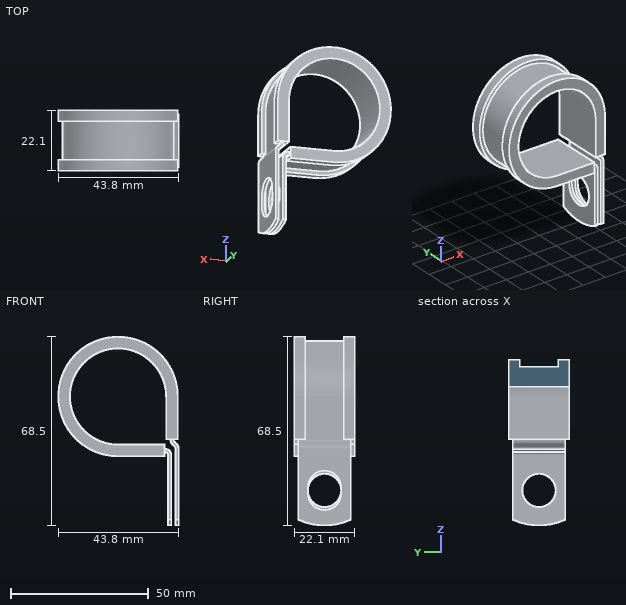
import cadquery as cq
import math

cushion_outer_radius = 21.7
cushion_inner_radius = 17.4
cushion_width = 22.1
groove_width = 13.85
upright_end_z = -15.55
flat_end_x = 16.85

strap_outer_radius = 20.2
strap_thickness = 1.2
strap_width = 19.2
strap_mid_radius = strap_outer_radius - strap_thickness / 2

tab_bottom_z = cushion_outer_radius - 68.55
outer_tab_face_x = 22.1
inner_tab_face_x = 19.3
outer_tab_mid_x = outer_tab_face_x - strap_thickness / 2
inner_tab_mid_x = inner_tab_face_x - strap_thickness / 2
tab_end_radius = 22.75
hole_diameter = 12.0
outer_slot_length = 14.25
hole_z = tab_bottom_z + 12.75

bend_radius = 0.95 + strap_thickness / 2
jog_start_z = -16.4
jog_angle = math.radians(45)


def loop_band(inner_radius, outer_radius, width):
    """Three-quarter ring with one upright and one flat straight end, centred on Y = 0."""
    arc_cos = math.cos(math.radians(45))
    return (
        cq.Workplane("XZ")
        .moveTo(outer_radius, upright_end_z)
        .lineTo(outer_radius, 0)
        .threePointArc((-outer_radius * arc_cos, outer_radius * arc_cos), (0, -outer_radius))
        .lineTo(flat_end_x, -outer_radius)
        .lineTo(flat_end_x, -inner_radius)
        .lineTo(0, -inner_radius)
        .threePointArc((-inner_radius * arc_cos, inner_radius * arc_cos), (inner_radius, 0))
        .lineTo(inner_radius, upright_end_z)
        .close()
        .extrude(width / 2, both=True)
    )


def make_cushion():
    cushion = loop_band(cushion_inner_radius, cushion_outer_radius, cushion_width)
    groove = loop_band(strap_outer_radius, cushion_outer_radius, groove_width)
    return cushion.cut(groove)


def strap_section(x):
    return cq.Workplane("XY", origin=(x, 0, tab_bottom_z)).rect(strap_thickness, strap_width)


def make_inner_tab():
    """Tab that bends square into the flat end of the loop."""
    path = (
        cq.Workplane("XZ")
        .moveTo(inner_tab_mid_x, tab_bottom_z)
        .lineTo(inner_tab_mid_x, -strap_mid_radius - bend_radius)
        .tangentArcPoint((inner_tab_mid_x - bend_radius, -strap_mid_radius), relative=False)
        .lineTo(0, -strap_mid_radius)
    )
    return strap_section(inner_tab_mid_x).sweep(path)


def make_outer_tab():
    """Tab that jogs sideways into the upright end of the loop."""
    offset = outer_tab_mid_x - strap_mid_radius
    jog_end_z = jog_start_z - offset / math.tan(jog_angle)
    setback = bend_radius * math.tan(jog_angle / 2)
    setback_x = setback * math.sin(jog_angle)
    setback_z = setback * math.cos(jog_angle)
    path = (
        cq.Workplane("XZ")
        .moveTo(outer_tab_mid_x, tab_bottom_z)
        .lineTo(outer_tab_mid_x, jog_end_z - setback)
        .tangentArcPoint((outer_tab_mid_x - setback_x, jog_end_z + setback_z), relative=False)
        .lineTo(strap_mid_radius + setback_x, jog_start_z - setback_z)
        .tangentArcPoint((strap_mid_radius, jog_start_z + setback), relative=False)
        .lineTo(strap_mid_radius, 0)
    )
    return strap_section(outer_tab_mid_x).sweep(path)


def bolt_hole_plane():
    return cq.Workplane("YZ").center(0, hole_z)


def make_bolt_hole():
    return bolt_hole_plane().circle(hole_diameter / 2).extrude(outer_tab_face_x)


def make_bolt_slot():
    """Slot along Z that leaves the outer tab room to shift on the bolt."""
    return bolt_hole_plane().slot2D(outer_slot_length, hole_diameter, 90).extrude(outer_tab_face_x)


def make_tab_outline(hole):
    """Block along X with a rounded lower end less the bolt hole, used to trim a tab."""
    half_width = strap_width / 2
    end_rise = tab_end_radius - math.sqrt(tab_end_radius**2 - half_width**2)
    corner_z = tab_bottom_z + end_rise
    outline = (
        cq.Workplane("YZ")
        .moveTo(-half_width, 0)
        .lineTo(-half_width, corner_z)
        .threePointArc((0, tab_bottom_z), (half_width, corner_z))
        .lineTo(half_width, 0)
        .close()
        .extrude(outer_tab_face_x)
    )
    return outline.cut(hole)


inner_tab = make_inner_tab().intersect(make_tab_outline(make_bolt_hole()))
outer_tab = make_outer_tab().intersect(make_tab_outline(make_bolt_slot()))
result = make_cushion().union(inner_tab).union(outer_tab)